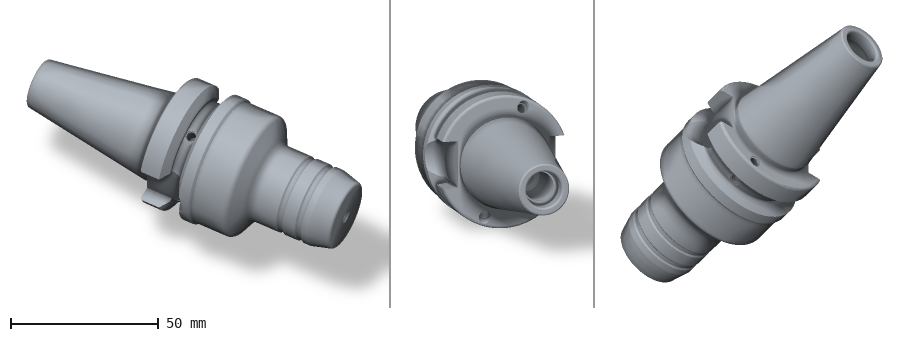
import cadquery as cq
import math


TOTAL_LENGTH = 118.25
NOSE_END = 70.0
SHANK_END = NOSE_END - TOTAL_LENGTH
GAUGE_RADIUS = 31.75 / 2
TAPER_RATIO = 7 / 24
SHANK_END_CHAMFER = 0.4
RELIEF_RADIUS = 31.2 / 2
RELIEF_START = 1.1
TAPER_MARGIN = 0.1
RELIEF_FILLET = 0.4

FLANGE_FRONT = 2.15
FLANGE_RADIUS = 46.0 / 2
FLANGE_FILLET = 1.0
NECK_RADIUS = 36.0 / 2
NECK_START = 11.65
NECK_END = 15.65
WALL_ANGLE = math.radians(60)
WALL_RUN = 2.1
WALL_RISE = WALL_RUN * math.tan(WALL_ANGLE)
BODY_START = 22.4

BODY_RADIUS = 44.5 / 2
NOSE_RADIUS = 28.0 / 2
BODY_END = 34.15
SHOULDER_ANGLE = math.radians(60)
SHOULDER_OUTER_FILLET = 2.0
SHOULDER_INNER_FILLET = 2.6
NOSE_TAPER_LENGTH = 7.45
NOSE_TAPER_ANGLE = math.radians(15)
NOSE_END_FILLET = 1.0

RING_RADIUS = 27.0 / 2
RING_WIDTH = 2.5
RING_STARTS = (50.5, 57.6)

RECESS_RADIUS = 12.5 / 2
RECESS_MOUTH_ROUNDING = 0.8
RECESS_DEPTH = 6.5
UNDERCUT_RADIUS = 13.1 / 2
UNDERCUT_START = 4.5
UNDERCUT_RAMP = 0.8
PILOT_LENGTH = 6.0
THREAD_RADIUS = 10.11 / 2
THREAD_DEPTH = 24.0
PILOT_RADIUS = 7.0 / 2
THROUGH_RADIUS = 4.92 / 2
DRILL_HALF_ANGLE = math.radians(59)

SLOT_WIDTH = 16.1
SLOT_FLOOR = 16.1
SLOT_END = 19.1

COOLANT_TURN = 20.0
COOLANT_TILT = 30.0
COOLANT_MOUTH_RADIUS = 19.8
STEP_DIAMETER = 4.0
CORE_DIAMETER = 3.24
FACE_STEP_DEPTH = 1.5
FACE_HOLE_DEPTH = 8.0
NECK_STEP_DEPTH = 0.4
NECK_HOLE_FLOOR = 11.4
CLEARANCE = 5.0


def taper_radius(x):
    return GAUGE_RADIUS + x * TAPER_RATIO / 2


def arc_step(radius, angle):
    return radius * math.sin(angle), radius * (1 - math.cos(angle))


def make_body():
    half_angle = SHOULDER_ANGLE / 2
    outer_run, outer_drop = arc_step(SHOULDER_OUTER_FILLET, SHOULDER_ANGLE)
    outer_mid_run, outer_mid_drop = arc_step(SHOULDER_OUTER_FILLET, half_angle)
    inner_run, inner_drop = arc_step(SHOULDER_INNER_FILLET, SHOULDER_ANGLE)
    inner_mid_run, inner_mid_drop = arc_step(SHOULDER_INNER_FILLET, half_angle)
    cone_start = BODY_END + outer_run
    cone_start_radius = BODY_RADIUS - outer_drop
    cone_end_radius = NOSE_RADIUS + inner_drop
    cone_end = cone_start + (cone_start_radius - cone_end_radius) / math.tan(SHOULDER_ANGLE)
    nose_start = cone_end + inner_run
    outer_mid = (BODY_END + outer_mid_run, BODY_RADIUS - outer_mid_drop)
    inner_mid = (nose_start - inner_mid_run, NOSE_RADIUS + inner_mid_drop)

    nose_end_radius = NOSE_RADIUS - NOSE_TAPER_LENGTH * math.tan(NOSE_TAPER_ANGLE)
    edge_drop = FLANGE_RADIUS - BODY_RADIUS

    profile = (
        cq.Workplane("XY")
        .moveTo(SHANK_END, 0)
        .lineTo(SHANK_END, taper_radius(SHANK_END) - SHANK_END_CHAMFER)
        .lineTo(SHANK_END + SHANK_END_CHAMFER, taper_radius(SHANK_END + SHANK_END_CHAMFER))
        .lineTo(-TAPER_MARGIN, taper_radius(-TAPER_MARGIN))
        .lineTo(RELIEF_START, RELIEF_RADIUS)
        .lineTo(FLANGE_FRONT - RELIEF_FILLET, RELIEF_RADIUS)
        .radiusArc((FLANGE_FRONT, RELIEF_RADIUS + RELIEF_FILLET), -RELIEF_FILLET)
        .lineTo(FLANGE_FRONT, FLANGE_RADIUS - FLANGE_FILLET)
        .radiusArc((FLANGE_FRONT + FLANGE_FILLET, FLANGE_RADIUS), FLANGE_FILLET)
        .lineTo(NECK_START - WALL_RUN, FLANGE_RADIUS)
        .lineTo(NECK_START, FLANGE_RADIUS - WALL_RISE)
        .lineTo(NECK_START, NECK_RADIUS)
        .lineTo(NECK_END, NECK_RADIUS)
        .lineTo(NECK_END, FLANGE_RADIUS - WALL_RISE)
        .lineTo(NECK_END + WALL_RUN, FLANGE_RADIUS)
        .lineTo(BODY_START - edge_drop, FLANGE_RADIUS)
        .lineTo(BODY_START, BODY_RADIUS)
        .lineTo(BODY_END, BODY_RADIUS)
        .threePointArc(outer_mid, (cone_start, cone_start_radius))
        .lineTo(cone_end, cone_end_radius)
        .threePointArc(inner_mid, (nose_start, NOSE_RADIUS))
        .lineTo(NOSE_END - NOSE_TAPER_LENGTH, NOSE_RADIUS)
        .lineTo(NOSE_END, nose_end_radius)
        .lineTo(NOSE_END, 0)
        .close()
    )
    body = profile.revolve(360, (0, 0, 0), (1, 0, 0))
    return body.faces(">X").edges().fillet(NOSE_END_FILLET)


def make_ring_groove(start):
    depth = NOSE_RADIUS - RING_RADIUS
    return (
        cq.Workplane("XY")
        .moveTo(start, NOSE_RADIUS)
        .lineTo(start + depth, RING_RADIUS)
        .lineTo(start + RING_WIDTH - depth, RING_RADIUS)
        .lineTo(start + RING_WIDTH, NOSE_RADIUS)
        .lineTo(start + RING_WIDTH, NOSE_RADIUS + CLEARANCE)
        .lineTo(start, NOSE_RADIUS + CLEARANCE)
        .close()
        .revolve(360, (0, 0, 0), (1, 0, 0))
    )


def make_bore():
    undercut_start = SHANK_END + UNDERCUT_START
    thread_end = SHANK_END + THREAD_DEPTH
    tip_run = (THREAD_RADIUS - PILOT_RADIUS) / math.tan(DRILL_HALF_ANGLE)
    pilot_end = thread_end + tip_run + PILOT_LENGTH
    pilot_tip_run = (PILOT_RADIUS - THROUGH_RADIUS) / math.tan(DRILL_HALF_ANGLE)
    return (
        cq.Workplane("XY")
        .moveTo(SHANK_END, 0)
        .lineTo(SHANK_END, RECESS_RADIUS + RECESS_MOUTH_ROUNDING)
        .radiusArc((SHANK_END + RECESS_MOUTH_ROUNDING, RECESS_RADIUS), -RECESS_MOUTH_ROUNDING)
        .lineTo(undercut_start, RECESS_RADIUS)
        .lineTo(undercut_start + UNDERCUT_RAMP, UNDERCUT_RADIUS)
        .lineTo(SHANK_END + RECESS_DEPTH, UNDERCUT_RADIUS)
        .lineTo(SHANK_END + RECESS_DEPTH, THREAD_RADIUS)
        .lineTo(thread_end, THREAD_RADIUS)
        .lineTo(thread_end + tip_run, PILOT_RADIUS)
        .lineTo(pilot_end, PILOT_RADIUS)
        .lineTo(pilot_end + pilot_tip_run, THROUGH_RADIUS)
        .lineTo(NOSE_END, THROUGH_RADIUS)
        .lineTo(NOSE_END, 0)
        .close()
        .revolve(360, (0, 0, 0), (1, 0, 0))
    )


def make_drive_slot():
    half_width = SLOT_WIDTH / 2
    return (
        cq.Workplane("XZ", origin=(0, -SLOT_FLOOR, 0))
        .moveTo(FLANGE_FRONT, -half_width)
        .lineTo(SLOT_END - half_width, -half_width)
        .threePointArc((SLOT_END, 0), (SLOT_END - half_width, half_width))
        .lineTo(FLANGE_FRONT, half_width)
        .close()
        .extrude(FLANGE_RADIUS - SLOT_FLOOR + CLEARANCE)
    )


def drill(mouth, direction, diameter, depth):
    axis = cq.Vector(*direction)
    start = cq.Vector(*mouth) - axis * CLEARANCE
    return cq.Workplane(cq.Solid.makeCylinder(diameter / 2, depth + CLEARANCE, start, axis))


def drill_stepped(mouth, direction, step_depth, core_depth):
    step = drill(mouth, direction, STEP_DIAMETER, step_depth)
    return step.union(drill(mouth, direction, CORE_DIAMETER, core_depth))


def make_face_hole():
    tilt = math.radians(COOLANT_TILT)
    mouth = (FLANGE_FRONT, 0, COOLANT_MOUTH_RADIUS)
    direction = (math.cos(tilt), 0, -math.sin(tilt))
    return drill_stepped(mouth, direction, FACE_STEP_DEPTH, FACE_HOLE_DEPTH)


def make_neck_hole():
    mouth = ((NECK_START + NECK_END) / 2, 0, NECK_RADIUS)
    return drill_stepped(mouth, (0, 0, -1), NECK_STEP_DEPTH, NECK_RADIUS - NECK_HOLE_FLOOR)


result = make_body().cut(make_bore())
for ring_start in RING_STARTS:
    result = result.cut(make_ring_groove(ring_start))
for side_turn in (0, 180):
    hole_turn = side_turn + COOLANT_TURN
    result = result.cut(make_drive_slot().rotate((0, 0, 0), (1, 0, 0), side_turn))
    result = result.cut(make_face_hole().rotate((0, 0, 0), (1, 0, 0), hole_turn))
    result = result.cut(make_neck_hole().rotate((0, 0, 0), (1, 0, 0), hole_turn))